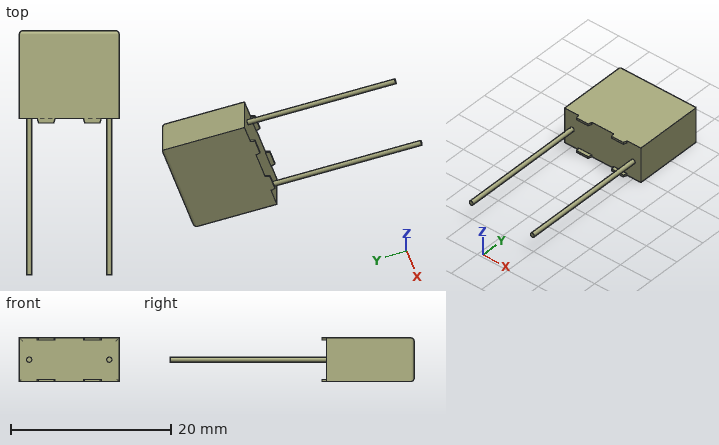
import cadquery as cq

housing_width = 12.5
housing_height = 5.5
housing_length = 11.0
end_fillet = 0.5

tab_root_width = 2.25
tab_tip_width = 1.9
tab_length = 0.55
tab_thickness = 0.3
tab_offset = 2.88

overall_length = 30.5
lead_length = overall_length - housing_length
lead_diameter = 0.65
lead_pitch = 10.0


def make_tab(center_x, bottom_z):
    """Flat tab with tapered sides, reaching from Y = 0 toward -Y."""
    root_x = tab_root_width / 2
    tip_x = tab_tip_width / 2
    return (
        cq.Workplane("XY", origin=(center_x, 0, bottom_z))
        .polyline([(-root_x, 0), (-tip_x, -tab_length), (tip_x, -tab_length), (root_x, 0)])
        .close()
        .extrude(tab_thickness)
    )


def make_housing():
    """Box with a rounded far end and four standoff tabs flush with its broad faces."""
    body = (
        cq.Workplane("XY")
        .box(housing_width, housing_length, housing_height, centered=(True, False, True))
        .faces(">Y")
        .edges()
        .fillet(end_fillet)
    )
    lower_tab_z = -housing_height / 2
    upper_tab_z = housing_height / 2 - tab_thickness
    for center_x in (-tab_offset, tab_offset):
        for bottom_z in (lower_tab_z, upper_tab_z):
            body = body.union(make_tab(center_x, bottom_z))
    return body


def make_lead(center_x):
    """Round wire that butts against the housing at Y = 0 and runs toward -Y."""
    return (
        cq.Workplane("XZ", origin=(center_x, 0, 0))
        .circle(lead_diameter / 2)
        .extrude(lead_length)
    )


housing = make_housing()
leads = [make_lead(center_x) for center_x in (-lead_pitch / 2, lead_pitch / 2)]

result = cq.Compound.makeCompound([housing.val(), *[lead.val() for lead in leads]])